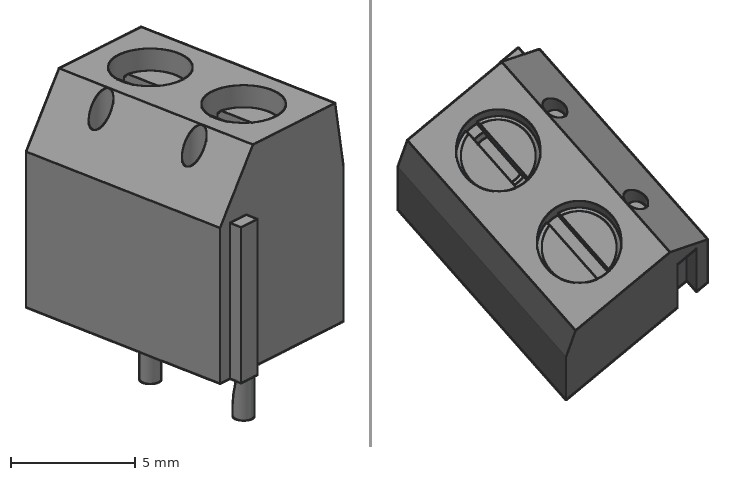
import cadquery as cq


housing_length = 10.4
housing_depth = 7.5
housing_height = 10.0
shoulder_height = 7.0
front_slope_run = 2.0
rear_slope_run = 0.5

first_pole_x = 2.7
pole_pitch = 5.0
pole_y = 4.5
pole_xs = [first_pole_x, first_pole_x + pole_pitch]

screw_diameter = 3.4
screw_head_depth = 0.9
screw_chamfer = 0.2
driver_slot_width = 0.6
driver_slot_depth = 0.5
slot_recess_diameter = 2.5
slot_recess_depth = 0.2

front_hole_diameter = 1.0
front_hole_y = 1.5

pin_diameter = 0.9
pin_length = 4.0
pin_neck_thickness = 0.08
pin_neck_length = 0.56

rib_y = 0.6
rib_width = 1.0
rib_projection = 0.6
groove_depth = 0.6


def make_housing():
    profile = [
        (0, 0),
        (housing_depth, 0),
        (housing_depth, shoulder_height),
        (housing_depth - rear_slope_run, housing_height),
        (front_slope_run, housing_height),
        (0, shoulder_height),
    ]
    return cq.Workplane("YZ").polyline(profile).close().extrude(housing_length)


def upright_bar(start_x, length):
    """Bar of the rib section, from the base up to the shoulder."""
    return cq.Workplane("XY").box(length, rib_width, shoulder_height, centered=False).translate(
        (start_x, rib_y, 0)
    )


def screw_well(pole_x):
    """Space above one screw: the open well, the bevel round the head and the driver slot."""
    head_z = housing_height - screw_head_depth
    well = (
        cq.Workplane("XY", origin=(pole_x, pole_y, head_z - screw_chamfer))
        .circle(screw_diameter / 2)
        .extrude(screw_head_depth + screw_chamfer)
    )
    head = (
        cq.Workplane("XY", origin=(pole_x, pole_y, head_z - screw_chamfer))
        .circle(screw_diameter / 2)
        .workplane(offset=screw_chamfer)
        .circle(screw_diameter / 2 - screw_chamfer)
        .loft()
    )
    slot = driver_slot(pole_x, screw_diameter / 2, head_z - driver_slot_depth, driver_slot_depth)
    return well.cut(head).union(slot)


def driver_slot(pole_x, radius, floor_z, depth):
    """Driver slot along X, with ends rounded to the given radius."""
    disc = cq.Workplane("XY", origin=(pole_x, pole_y, floor_z)).circle(radius).extrude(depth)
    bar = (
        cq.Workplane("XY", origin=(pole_x, pole_y, floor_z))
        .rect(2 * radius, driver_slot_width)
        .extrude(depth)
    )
    return disc.intersect(bar)


def slot_recess(pole_x):
    """Shallow dish in the slot floor, its ends sloping inward as part of a cone."""
    top_radius = slot_recess_diameter / 2
    top_z = housing_height - screw_head_depth - driver_slot_depth
    cone = (
        cq.Workplane("XY", origin=(pole_x, pole_y, top_z))
        .circle(top_radius)
        .workplane(offset=-slot_recess_depth)
        .circle(top_radius - slot_recess_depth)
        .loft()
    )
    bar = driver_slot(pole_x, top_radius, top_z - slot_recess_depth, slot_recess_depth)
    return cone.intersect(bar)


def front_hole(pole_x):
    """Vertical hole that opens in the front slope and ends level with the shoulder."""
    return (
        cq.Workplane("XY", origin=(pole_x, front_hole_y, shoulder_height))
        .circle(front_hole_diameter / 2)
        .extrude(housing_height - shoulder_height)
    )


def round_pin(pole_x):
    return cq.Workplane("XY", origin=(pole_x, pole_y, 0)).circle(pin_diameter / 2).extrude(-pin_length)


def tapered_pin(pole_x):
    """Round pin cut away on its -X side, thinning to a narrow neck at the base of the housing."""
    left_x = pole_x - pin_diameter / 2
    neck_x = pole_x + pin_diameter / 2 - pin_neck_thickness
    waste = (
        cq.Workplane("XZ", origin=(0, pole_y, 0))
        .polyline([(left_x, 0), (neck_x, 0), (neck_x, -pin_neck_length), (left_x, -pin_length)])
        .close()
        .extrude(pin_diameter / 2, both=True)
    )
    return round_pin(pole_x).cut(waste)


result = make_housing()
result = result.union(upright_bar(housing_length, rib_projection))
result = result.cut(upright_bar(0, groove_depth))
for pole_x in pole_xs:
    result = result.cut(screw_well(pole_x))
    result = result.cut(front_hole(pole_x))
result = result.cut(slot_recess(pole_xs[1]))
result = result.union(round_pin(pole_xs[0]))
result = result.union(tapered_pin(pole_xs[1]))